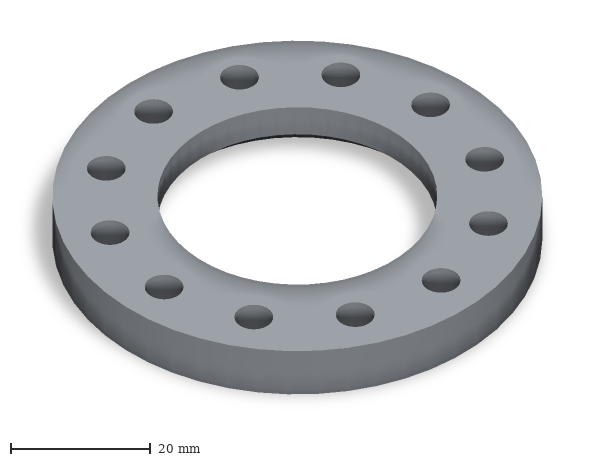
import cadquery as cq

outer_diameter = 70.0
thickness = 8.0
bore_diameter = 40.0

bore_chamfer = 3.0

hole_count = 12
hole_diameter = 5.5
bolt_circle_diameter = 56.0

ring = (
    cq.Workplane("XY")
    .circle(outer_diameter / 2)
    .circle(bore_diameter / 2)
    .extrude(thickness)
)

bottom_bore_edge = cq.selectors.RadiusNthSelector(0)
chamfered_ring = ring.faces("<Z").edges(bottom_bore_edge).chamfer(bore_chamfer)

bolt_holes = (
    cq.Workplane("XY")
    .polarArray(bolt_circle_diameter / 2, 0, 360, hole_count)
    .circle(hole_diameter / 2)
    .extrude(thickness)
)

result = chamfered_ring.cut(bolt_holes)